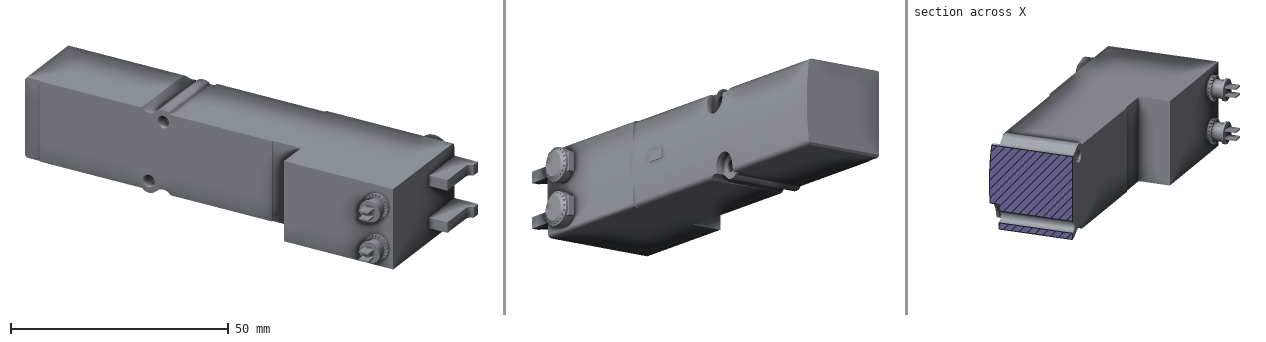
import cadquery as cq
import math

total_length = 108.5
body_length = 102.3
body_height = 20.6
back_y = 20.7
half_height = body_height / 2

cover_end_x = 68.7
cover_back_y = 20.8
cover_crown_drop = 0.8
cover_edge_radius = 1.3
rear_crown_drop = 0.2
rear_edge_radius = 1.0

front_recess = 0.27
cap_length = 4.1
front_step_x = 65.8
block_start_x = 73.3
block_depth = 7.5

end_chamfer_x = 0.4
end_chamfer_z = 0.5

upper_hole_x = 36.9
lower_hole_x = 33.1
ear_axis_x = (upper_hole_x + lower_hole_x) / 2
ear_radius = 3.0
ear_reach = 0.8
hole_z = half_height + ear_reach - ear_radius
hole_diameter = 2.8
hole_mouth_diameter = 3.1
counterbore_floor_y = 18.4
valley_depth = 1.0
valley_half_width = 2.0
valley_floor_run = 1.0
ear_flank_run = 1.1
ear_bevel_start = 1.3
ear_bevel_end = 1.7

label_start_x = 56.9
label_length = 5.1
label_width = 2.4
label_rise = 0.2

connector_pitch = 10.5
knob_x = 95.4
knob_diameter = 8.1
knob_rise = 3.4
knob_bevel_radial = 1.2
knob_bevel_axial = 0.8
lug_reach = 0.4
lug_width = 4.6
lug_thickness = 1.3
lug_top_gap = 1.3

plug_x = 98.3
collar_diameter = 6.1
collar_thickness = 1.0
neck_diameter = 4.5
neck_length = 2.4
flange_diameter = 5.3
flange_thickness = 0.5
blade_length = 2.7
blade_width = 2.5
blade_thickness = 0.4
blade_spacing = 2.0

tooth_count = 20
notch_width = 0.4
notch_depth = 0.5

tab_pitch = 10.8
tab_height = 2.7
tab_bottom_y = 9.0
tab_shank_length = 4.9
hook_thickness = 2.1

overlap = 0.5


def y_cylinder(x, z, y_start, y_end, diameter):
    """Solid cylinder along Y between two Y positions."""
    start = cq.Workplane("XZ", origin=(x, y_start, z))
    return start.circle(diameter / 2).extrude(y_start - y_end)


def box_between(low, high):
    """Axis-aligned box given by two opposite corners."""
    size = [b - a for a, b in zip(low, high)]
    return cq.Workplane("XY").box(*size, centered=False).translate(low)


def crowned_bar(x_start, x_end, apex_y, crown_drop, edge_radius):
    """Length of body with an arched back and rounded back edges."""
    shoulder_y = apex_y - crown_drop
    bar = (
        cq.Workplane("YZ", origin=(x_start, 0, 0))
        .moveTo(0, -half_height)
        .lineTo(shoulder_y, -half_height)
        .threePointArc((apex_y, 0), (shoulder_y, half_height))
        .lineTo(0, half_height)
        .close()
        .extrude(x_end - x_start)
    )
    back_edges = cq.selectors.BoxSelector(
        (x_start, shoulder_y / 2, -body_height), (x_end, apex_y, body_height)
    )
    return bar.edges("|X").edges(back_edges).fillet(edge_radius)


def half_turn(shape):
    """Copy turned half a revolution about the Y-directed ear axis."""
    return shape.rotate((ear_axis_x, 0, 0), (ear_axis_x, 1, 0), 180)


def make_body():
    cover = crowned_bar(0, cover_end_x, cover_back_y, cover_crown_drop, cover_edge_radius)
    rear = crowned_bar(cover_end_x, body_length, back_y, rear_crown_drop, rear_edge_radius)
    bar = cover.union(rear)
    for x_start, x_end in ((0, cap_length), (front_step_x, block_start_x)):
        bar = bar.cut(box_between((x_start, 0, -half_height), (x_end, front_recess, half_height)))
    block = box_between(
        (block_start_x, -block_depth, -half_height), (body_length, overlap, half_height)
    )
    bar = bar.union(block)
    wedge = (
        cq.Workplane("XZ")
        .moveTo(0, half_height - end_chamfer_z)
        .lineTo(end_chamfer_x, half_height)
        .lineTo(0, half_height)
        .close()
        .extrude(-cover_back_y)
    )
    return bar.cut(wedge).cut(wedge.mirror("XY"))


def ear_rim_point(offset):
    """Point on the upper ear's outer arc at an X offset from its hole."""
    return (upper_hole_x + offset, hole_z + math.sqrt(ear_radius**2 - offset**2))


def make_ear():
    """Round ear over the upper hole, with a bevel down to the body on its right."""
    return (
        cq.Workplane("XZ")
        .moveTo(*ear_rim_point(-ear_radius))
        .threePointArc(ear_rim_point(0), ear_rim_point(ear_bevel_start))
        .lineTo(upper_hole_x + ear_bevel_end, half_height)
        .lineTo(upper_hole_x + ear_bevel_end, hole_z)
        .close()
        .extrude(-counterbore_floor_y)
    )


def valley_cutter():
    """Groove beside the upper ear: a round floor and a sloped wall up to the ear."""
    radius = (valley_half_width**2 + valley_depth**2) / (2 * valley_depth)
    centre_z = half_height - valley_depth + radius
    floor_end = (
        lower_hole_x + valley_floor_run,
        centre_z - math.sqrt(radius**2 - valley_floor_run**2),
    )
    left_x = lower_hole_x - valley_half_width
    ear_start = ear_rim_point(-ear_flank_run)
    return (
        cq.Workplane("XZ")
        .moveTo(left_x, half_height)
        .threePointArc((lower_hole_x, half_height - valley_depth), floor_end)
        .lineTo(*ear_start)
        .lineTo(ear_start[0], half_height + ear_reach)
        .lineTo(left_x, half_height + ear_reach)
        .close()
        .extrude(-cover_back_y)
    )


def hole_cutter():
    """Through hole with a slightly widened mouth on the front face."""
    mouth_depth = (hole_mouth_diameter - hole_diameter) / 2
    mouth = (
        cq.Workplane("XZ", origin=(upper_hole_x, 0, hole_z))
        .circle(hole_mouth_diameter / 2)
        .workplane(offset=-mouth_depth)
        .circle(hole_diameter / 2)
        .loft(ruled=True)
    )
    return y_cylinder(upper_hole_x, hole_z, 0, cover_back_y, hole_diameter).union(mouth)


def counterbore_cutter():
    """Round seat for a screw head, open at the back and on the outer side of the ear."""
    seat = y_cylinder(upper_hole_x, hole_z, counterbore_floor_y, cover_back_y, 2 * ear_radius)
    open_side = box_between(
        (upper_hole_x - ear_radius, counterbore_floor_y, hole_z),
        (upper_hole_x + ear_radius, cover_back_y, half_height + ear_reach),
    )
    return seat.union(open_side)


def add_ears(body):
    ear = make_ear()
    body = body.union(ear).union(half_turn(ear))
    for cutter in (valley_cutter(), hole_cutter(), counterbore_cutter()):
        body = body.cut(cutter).cut(half_turn(cutter))
    return body


def cut_teeth(part, x, z, diameter, y_start, y_end):
    """Evenly spaced notches around the rim of a round part."""
    radius = diameter / 2
    notch = box_between(
        (x + radius - notch_depth, y_start, z - notch_width / 2),
        (x + radius + notch_depth, y_end, z + notch_width / 2),
    )
    notches = cq.Workplane("XY")
    for index in range(tooth_count):
        angle = 360 * index / tooth_count
        notches = notches.add(notch.rotate((x, 0, z), (x, 1, z), angle))
    return part.cut(notches.combine())


def make_knob(z):
    top_y = back_y + knob_rise
    root_y = back_y - rear_crown_drop - overlap
    knob = y_cylinder(knob_x, z, root_y, top_y, knob_diameter)
    knob = knob.faces(">Y").chamfer(knob_bevel_axial, knob_bevel_radial)
    knob = cut_teeth(knob, knob_x, z, knob_diameter, top_y - knob_bevel_axial, top_y)
    lug_x = knob_x - knob_diameter / 2 - lug_reach
    lug_top_y = top_y - lug_top_gap
    lug = box_between(
        (lug_x, lug_top_y - lug_thickness, z - lug_width / 2),
        (knob_x, lug_top_y, z + lug_width / 2),
    )
    return knob.union(lug)


def make_plug(z):
    collar_end = -block_depth - collar_thickness
    neck_end = collar_end - neck_length
    flange_end = neck_end - flange_thickness
    collar = y_cylinder(plug_x, z, -block_depth, collar_end, collar_diameter)
    collar = cut_teeth(
        collar, plug_x, z, collar_diameter, collar_end, collar_end + collar_thickness / 2
    )
    plug = y_cylinder(plug_x, z, overlap - block_depth, neck_end, neck_diameter)
    plug = plug.union(collar)
    plug = plug.union(y_cylinder(plug_x, z, neck_end, flange_end, flange_diameter))
    for side in (-1, 1):
        blade_z = z + side * blade_spacing / 2
        blade = box_between(
            (plug_x - blade_width / 2, flange_end - blade_length, blade_z - blade_thickness / 2),
            (plug_x + blade_width / 2, neck_end, blade_z + blade_thickness / 2),
        )
        plug = plug.union(blade)
    return plug


def make_tab(z):
    shank_end_x = body_length + tab_shank_length
    hook_y = back_y - hook_thickness
    hook_radius = total_length - shank_end_x
    arc_middle = (
        total_length - hook_radius * math.cos(math.pi / 4),
        hook_y - hook_radius * (1 - math.sin(math.pi / 4)),
    )
    root_x = body_length - overlap
    return (
        cq.Workplane("XY", origin=(0, 0, z - tab_height / 2))
        .moveTo(root_x, tab_bottom_y)
        .lineTo(shank_end_x, tab_bottom_y)
        .lineTo(shank_end_x, hook_y - hook_radius)
        .threePointArc(arc_middle, (total_length, hook_y))
        .lineTo(total_length, back_y)
        .lineTo(root_x, back_y)
        .close()
        .extrude(tab_height)
    )


def make_label():
    return box_between(
        (label_start_x, back_y - overlap, -label_width / 2),
        (label_start_x + label_length, cover_back_y + label_rise, label_width / 2),
    )


result = add_ears(make_body()).union(make_label())
for side in (-1, 1):
    connector_z = side * connector_pitch / 2
    result = result.union(make_knob(connector_z))
    result = result.union(make_plug(connector_z))
    result = result.union(make_tab(side * tab_pitch / 2))